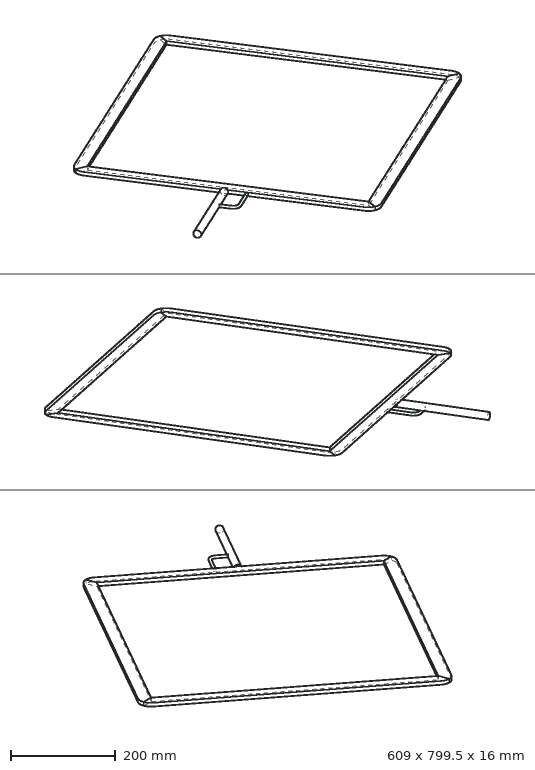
import cadquery as cq
import math

frame_side = 609.0
bar_width = 25.5
bar_thickness = 8.0
corner_radius = 25.5

overall_length = 799.5
handle_diameter = 16.0
handle_length = overall_length - frame_side

rod_diameter = 6.0
rod_offset = 45.0
rod_drop = 61.5
bend_radius = 13.5

half_side = frame_side / 2
half_opening = half_side - bar_width


def make_frame_bar(angle):
    """One bar of the frame, with 45 degree mitres and rounded outer corners."""
    corner_inset = corner_radius * (1 - math.sqrt(0.5))
    miter_tip = half_side - corner_inset
    arc_start = half_side - corner_radius
    arc_mid_x = arc_start + corner_radius * math.sin(math.radians(22.5))
    arc_mid_y = arc_start + corner_radius * math.cos(math.radians(22.5))
    return (
        cq.Workplane("XY")
        .moveTo(-half_opening, -half_opening)
        .lineTo(-miter_tip, -miter_tip)
        .threePointArc((-arc_mid_x, -arc_mid_y), (-arc_start, -half_side))
        .lineTo(arc_start, -half_side)
        .threePointArc((arc_mid_x, -arc_mid_y), (miter_tip, -miter_tip))
        .lineTo(half_opening, -half_opening)
        .close()
        .extrude(bar_thickness / 2, both=True)
        .rotate((0, 0, 0), (0, 0, 1), angle)
    )


def make_handle():
    """Plain round rod butted against the middle of the -Y frame bar."""
    return (
        cq.Workplane("XZ", origin=(0, -half_side, 0))
        .circle(handle_diameter / 2)
        .extrude(handle_length)
    )


def make_brace(handle):
    """L-shaped round rod, its inner end coped to the handle."""
    leg_y = -half_side - rod_drop
    bend_x = rod_offset - bend_radius
    bend_y = leg_y + bend_radius
    bend_mid = (
        bend_x + bend_radius * math.sqrt(0.5),
        bend_y - bend_radius * math.sqrt(0.5),
    )
    path = (
        cq.Workplane("XY")
        .moveTo(rod_offset, -half_side)
        .lineTo(rod_offset, bend_y)
        .threePointArc(bend_mid, (bend_x, leg_y))
        .lineTo(0, leg_y)
    )
    rod = (
        cq.Workplane("XZ", origin=(rod_offset, -half_side, 0))
        .circle(rod_diameter / 2)
        .sweep(path)
    )
    return rod.cut(handle)


frame_bars = [make_frame_bar(angle) for angle in (0, 90, 180, 270)]
handle = make_handle()
brace = make_brace(handle)

result = cq.Compound.makeCompound(
    [bar.val() for bar in frame_bars] + [handle.val(), *brace.vals()]
)